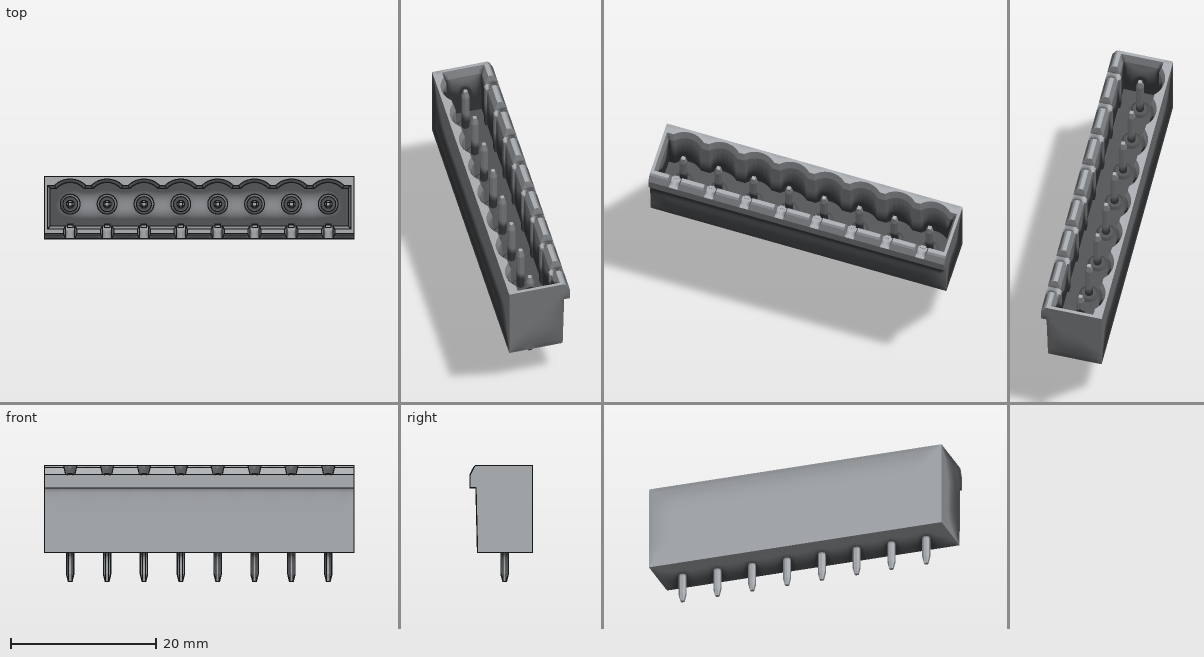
import cadquery as cq


pin_count = 8
pin_pitch = 5.07
pin_xs = [(i - (pin_count - 1) / 2) * pin_pitch for i in range(pin_count)]

length = 42.65
height = 12.0
back_y = 3.85
depth = 8.6
lip_y = back_y - depth
lip_height = 3.05
lip_root_y = -3.95
base_front_y = -3.75
bevel_depth = 1.3
bevel_break = 0.25
bevel_break_y = -4.25
rim_front_y = -4.0

floor_z = 3.4
side_wall = 0.43
cavity_back_y = 2.55
cavity_front_y = -3.45
lead_in = 0.4
front_lead_in = 0.45
lead_in_depth = 1.3
lead_in_z = height - lead_in_depth
inner_front_y = cavity_front_y + front_lead_in

recess_center_y = 0.4
recess_rim_radius = 3.05
recess_radius = recess_rim_radius - lead_in
recess_floor_radius = 2.6

slot_top_width = 1.85
slot_floor_width = 1.25
slot_floor_z = height - 1.3
rib_width = 0.75
rib_depth = 0.25
rib_rise = 0.1
rib_chamfer = 0.13

pin_width = 1.02
pin_corner = 0.3
pin_tip_width = 0.5
pin_tip_corner = 0.05
pin_taper = 1.02
pin_bottom_z = -4.0
pin_top_z = 10.87
collar_radius = 1.35
collar_top_radius = 1.02
collar_height = 0.25


def housing():
    profile = [
        (back_y, 0),
        (base_front_y, 0),
        (lip_root_y, height - lip_height),
        (lip_y, height - lip_height),
        (lip_y, height - bevel_depth),
        (bevel_break_y, height - bevel_break),
        (rim_front_y, height),
        (back_y, height),
    ]
    return cq.Workplane("YZ").polyline(profile).close().extrude(length / 2, both=True)


def cavity_outline(z, end_inset, back_inset, front_inset):
    size_x = length - 2 * (side_wall + end_inset)
    front = cavity_front_y + front_inset
    back = cavity_back_y - back_inset
    return cq.Workplane("XY", origin=(0, (front + back) / 2, z)).rect(size_x, back - front)


def cone(x, y, bottom_z, bottom_radius, top_z, top_radius):
    return cq.Workplane(
        cq.Solid.makeCone(bottom_radius, top_radius, top_z - bottom_z, cq.Vector(x, y, bottom_z))
    )


def cavity():
    well = cavity_outline(floor_z, lead_in, lead_in, front_lead_in).extrude(height - floor_z)
    rim = cavity_outline(height, 0, 0, 0).wires().val()
    throat = cavity_outline(lead_in_z, lead_in, lead_in, front_lead_in).wires().val()
    space = well.union(cq.Workplane(cq.Solid.makeLoft([throat, rim], True)))
    keep_depth = back_y - recess_center_y
    keep = cq.Workplane("XY", origin=(0, recess_center_y, floor_z)).box(
        length, keep_depth, height - floor_z, centered=(True, False, False)
    )
    for x in pin_xs:
        recess = cone(x, recess_center_y, floor_z, recess_floor_radius, lead_in_z, recess_radius)
        mouth = cone(x, recess_center_y, lead_in_z, recess_radius, height, recess_rim_radius)
        space = space.union(recess.union(mouth).intersect(keep))
    return space


def slot(x):
    section = [
        (x - slot_floor_width / 2, slot_floor_z),
        (x + slot_floor_width / 2, slot_floor_z),
        (x + slot_top_width / 2, height),
        (x - slot_top_width / 2, height),
    ]
    return (
        cq.Workplane("XZ", origin=(0, inner_front_y, 0))
        .polyline(section)
        .close()
        .extrude(inner_front_y - lip_y)
    )


def rib(x):
    top_z = slot_floor_z + rib_rise
    return (
        cq.Workplane("XY", origin=(x, inner_front_y, floor_z))
        .rect(rib_width, 2 * rib_depth)
        .extrude(top_z - floor_z)
        .edges(">Y and >Z")
        .chamfer(rib_chamfer)
    )


def pin_outline(z, width, corner):
    side = width / 2
    flat = side - corner
    points = [
        (flat, -side),
        (side, -flat),
        (side, flat),
        (flat, side),
        (-flat, side),
        (-side, flat),
        (-side, -flat),
        (-flat, -side),
    ]
    return cq.Workplane("XY", origin=(0, 0, z)).polyline(points).close().val()


def pin(x):
    outlines = [
        pin_outline(pin_bottom_z, pin_tip_width, pin_tip_corner),
        pin_outline(pin_bottom_z + pin_taper, pin_width, pin_corner),
        pin_outline(pin_top_z - pin_taper, pin_width, pin_corner),
        pin_outline(pin_top_z, pin_tip_width, pin_tip_corner),
    ]
    return cq.Workplane(cq.Solid.makeLoft(outlines, True)).translate((x, 0, 0))


def collar(x):
    return cone(x, 0, floor_z, collar_radius, floor_z + collar_height, collar_top_radius)


result = housing().cut(cavity())
for x in pin_xs:
    result = result.cut(slot(x)).union(rib(x))
    result = result.union(collar(x)).union(pin(x))